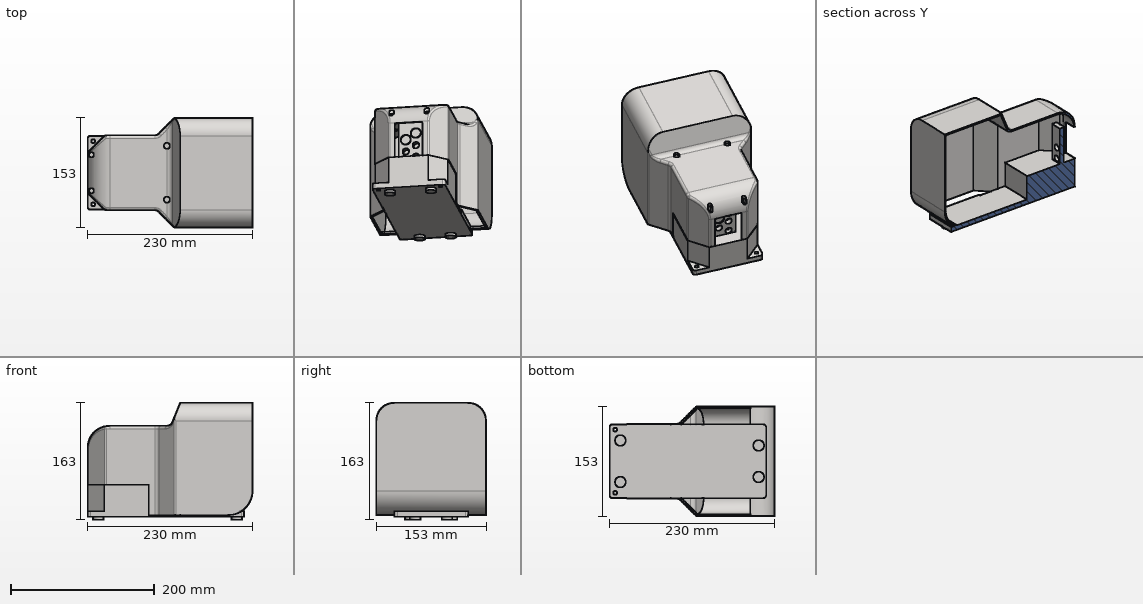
import cadquery as cq
import math

length = 230.0
width = 153.0
height = 163.0

foot_height = 4.0
foot_diameter = 15.0
front_foot = (15.0, 29.0)
rear_foot = (207.7, 22.0)
plate_length = 218.0
plate_top = foot_height + 8.0
plate_corner_radius = 4.0
plate_hole = (7.8, 44.0)
plate_hole_diameter = 5.0

base_width = 103.0
block_length = 85.0
block_top = 49.0
panel_x = 19.0
panel_thickness = 8.0
panel_width = 34.8
panel_top = 105.0
boss_height = 1.5
boss_diameter = 14.0
port_diameter = 9.3
boss_centers = [(7.2, 80.0), (-7.0, 89.0)]
port_centers = [(7.2, 63.0), (-7.0, 54.5), (-7.0, 71.5)]

neck_width = 104.5
nose_width = 56.0
nose_depth = (neck_width - nose_width) / 2
flare_end = 120.9
flare_start = flare_end - (width - neck_width) / 2
housing_bottom = 6.5
roof_z = 131.0
nose_radius = 31.0
rear_radius = 34.0
slope_foot_x = 116.0
slope_top_x = 129.0
slope_foot_radius = 8.0
dome_radius = 25.0
edge_radius = 4.0
flare_radius = 8.0

wall = 3.0
front_wall = 2.0
window_width = 39.4
window_top = 99.0
window_corner_radius = 3.0
nose_hole = (5.4, 25.0)
nose_hole_diameter = 7.0
roof_hole = (110.5, 37.5)
roof_hole_diameter = 8.5

tongue_end = slope_top_x
tongue_width = neck_width - 2 * wall

overlap = 1.0


def mirrored(point):
    """The point and its twin on the other side of the XZ plane."""
    x, y = point
    return [(x, y), (x, -y)]


def bar(x_start, x_end, bar_width, z_start, z_end):
    """Box centred on Y."""
    corner_box = cq.Workplane("XY").box(
        x_end - x_start, bar_width, z_end - z_start, centered=(False, True, False)
    )
    return corner_box.translate((x_start, 0, z_start))


def upright_pins(points, diameter, z_start, z_end):
    base_plane = cq.Workplane("XY").workplane(offset=z_start)
    return base_plane.pushPoints(points).circle(diameter / 2).extrude(z_end - z_start)


def lengthwise_pins(points, diameter, x_start, x_end):
    base_plane = cq.Workplane("YZ").workplane(offset=x_start)
    return base_plane.pushPoints(points).circle(diameter / 2).extrude(x_end - x_start)


def symmetric_outline(half):
    """Closed plan outline from its +Y half."""
    other_half = [(x, -y) for x, y in reversed(half)]
    return cq.Workplane("XY").polyline(half + other_half).close()


def housing_plan(inset, front):
    """Plan with a cut-cornered nose, a straight neck and a 45 degree flare."""
    shift = inset * math.tan(math.pi / 8)
    nose = nose_width / 2 - inset * math.sqrt(2) + front
    neck = neck_width / 2 - inset
    wide = width / 2 - inset
    return symmetric_outline([
        (front, nose),
        (front + neck - nose, neck),
        (flare_start + shift, neck),
        (flare_end + shift, wide),
        (length - inset, wide),
    ]).extrude(height)


def housing_side(inset, front):
    """Side profile: round nose, roof, slope up to the dome and round lower rear edge."""
    angle = math.atan2(height - roof_z, slope_top_x - slope_foot_x)
    shift = inset * math.tan(angle / 2)
    foot_x = slope_foot_x + shift
    roof = roof_z - inset
    top = height - inset
    bottom = housing_bottom + inset
    rear = length - inset
    rear_arc = rear_radius - inset
    tangent = slope_foot_radius * math.tan(angle / 2)
    foot_arc_start = foot_x - tangent
    foot_arc_middle = (
        foot_arc_start + slope_foot_radius * math.sin(angle / 2),
        roof + slope_foot_radius * (1 - math.cos(angle / 2)),
    )
    foot_arc_end = (foot_x + tangent * math.cos(angle), roof + tangent * math.sin(angle))
    bulge = 1 - math.sqrt(0.5)
    outline = (
        cq.Workplane("XZ")
        .moveTo(front, bottom)
        .lineTo(front, roof - nose_radius)
        .threePointArc(
            (front + nose_radius * bulge, roof - nose_radius * bulge),
            (front + nose_radius, roof),
        )
        .lineTo(foot_arc_start, roof)
        .threePointArc(foot_arc_middle, foot_arc_end)
        .lineTo(slope_top_x + shift, top)
        .lineTo(rear, top)
        .lineTo(rear, bottom + rear_arc)
        .threePointArc(
            (rear - rear_arc * bulge, bottom + rear_arc * bulge),
            (rear - rear_arc, bottom),
        )
        .close()
    )
    return outline.extrude(width, both=True)


def dome_prism(inset):
    """Full-length bar whose upper long edges are rounded."""
    prism = bar(0, length, width - 2 * inset, 0, height - inset)
    return prism.edges("|X and >Z").fillet(dome_radius - inset)


def column_edges(body, x):
    """Upright edges of the body at a given X, on both sides."""
    zone = cq.selectors.BoxSelector((x - 1, -width, 0), (x + 1, width, height))
    return body.edges("|Z").edges(zone)


def rim_and_nose_edges(body):
    """Rim over the nose, neck, flare and slope, with the upright corners of the nose."""
    rim_zone = cq.selectors.BoxSelector(
        (-1, -width, roof_z - nose_radius), (flare_end - 1, width, roof_z + dome_radius)
    )
    rim = body.edges(rim_zone).edges("not |Y").edges("not |Z")
    return rim.add(column_edges(body, 0)).add(column_edges(body, nose_depth))


def make_outer_form():
    plan = column_edges(housing_plan(0, 0), flare_start).fillet(flare_radius)
    form = plan.intersect(housing_side(0, 0)).intersect(dome_prism(0))
    form = rim_and_nose_edges(form).fillet(edge_radius)
    rounded_flare = column_edges(plan, flare_end).fillet(edge_radius)
    return form.intersect(rounded_flare)


def make_cavity():
    """Hollow of the shell, open downwards where the housing's underside is flat."""
    plan = housing_plan(wall, front_wall)
    hollow = plan.intersect(housing_side(wall, front_wall)).intersect(dome_prism(wall))
    underside = bar(0, length - rear_radius, width, 0, housing_bottom + wall + overlap)
    return hollow.union(plan.intersect(underside))


def base_clearance():
    """Space that the base block and plate take out of the housing."""
    block = bar(0, block_length, width, 0, block_top)
    tongue = bar(0, tongue_end, tongue_width, 0, plate_top)
    plate = bar(tongue_end, plate_length, base_width, 0, plate_top)
    plate = plate.edges("|Z and >X").fillet(plate_corner_radius)
    return block.union(tongue).union(plate)


def make_housing():
    window = bar(-overlap, panel_x - boss_height, window_width, block_top, window_top)
    window = window.edges("|X and >Z").fillet(window_corner_radius)
    nose_holes = upright_pins(mirrored(nose_hole), nose_hole_diameter, block_top, roof_z)
    roof_holes = upright_pins(
        mirrored(roof_hole),
        roof_hole_diameter,
        roof_z - 2 * wall,
        roof_z + slope_foot_radius,
    )
    shell = make_outer_form().cut(make_cavity()).cut(base_clearance())
    return shell.cut(window).cut(nose_holes).cut(roof_holes)


def make_plate():
    """Base plate with a ledge on each side that carries the walls of the housing neck."""
    plate = bar(0, plate_length, base_width, foot_height, plate_top)
    plate = plate.edges("|Z").fillet(plate_corner_radius)
    above_ledge = bar(block_length, tongue_end, width, housing_bottom, plate_top)
    tongue = bar(block_length, tongue_end, tongue_width, housing_bottom, plate_top)
    holes = upright_pins(mirrored(plate_hole), plate_hole_diameter, 0, plate_top)
    return plate.cut(above_ledge.cut(tongue)).cut(holes)


def make_block():
    """Block that closes the lower nose and neck, with cut front corners."""
    nose = nose_width / 2
    side = base_width / 2
    outline = symmetric_outline([(0, nose), (side - nose, side), (block_length, side)])
    return outline.extrude(block_top - foot_height).translate((0, 0, foot_height))


def make_panel():
    """Upright panel behind the window, with raised discs and open ports."""
    panel_back = panel_x + panel_thickness
    panel = bar(panel_x, panel_back, panel_width, block_top, panel_top)
    bosses = lengthwise_pins(
        boss_centers, boss_diameter, panel_x - boss_height, panel_x + overlap
    )
    ports = lengthwise_pins(port_centers, port_diameter, panel_x, panel_back)
    return panel.union(bosses).cut(ports)


def make_base():
    feet = upright_pins(
        mirrored(front_foot) + mirrored(rear_foot), foot_diameter, 0, foot_height + overlap
    )
    return make_plate().union(make_block()).union(feet).union(make_panel())


housing = make_housing()
base = make_base()
result = cq.Compound.makeCompound([housing.val(), base.val()])